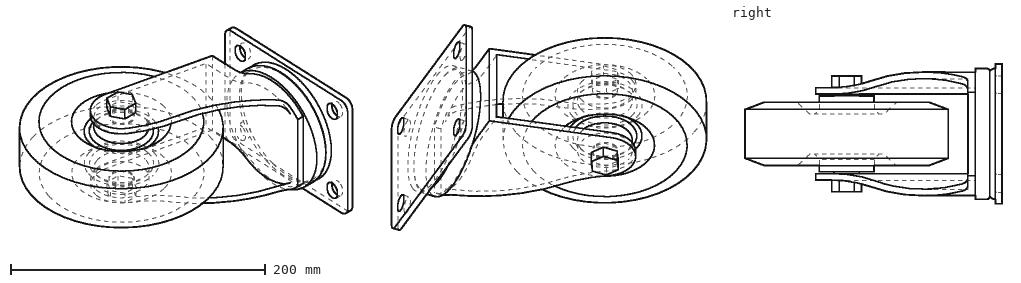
import cadquery as cq
import math


wheel_radius = 80.0
wheel_half_width = 25.0
tread_half_width = 19.1
face_radius = 64.7
recess_radius = 39.1
recess_floor_radius = 29.2
recess_depth = 9.2
collar_base_radius = 25.2
collar_top_depth = 5.2

hub_diameter = 43.2
hub_half_length = 29.9
axle_diameter = 20.0
hex_flats = 20.5
bolt_half_length = 45.5

overall_length = 215
overall_height = 202
plate_length = 140.0
plate_width = 110.0
plate_thickness = 5.4
plate_corner_radius = 7.3
slot_width = 11.5
slot_length = 14.0
slot_offset_x = 52.5
slot_offset_z = 38.7

bearing_diameter = 103.0
bearing_groove_diameter = 98.5
bearing_bottom = 101.0
bearing_shoulder = 109.9
bearing_groove = 112.5

sheet = 5.2
leg_outer_z = 36.3
leg_end_radius = 24.3
leg_bend_x = 21.3
fork_crown_radius = 48.5
fork_corner_x = -2.8
fork_end_x = 100.8
bridge_thickness = 5.8
leg_slope = 58.7
throat_radius = 10.3

plate_top = overall_height - wheel_radius
plate_bottom = plate_top - plate_thickness
swivel_x = overall_length - wheel_radius - plate_length / 2
bridge_bottom = bearing_bottom - bridge_thickness


def make_wheel():
    """Chamfered wheel with a dished recess and a conical collar on each face."""
    recess_floor = wheel_half_width - recess_depth
    collar_top = wheel_half_width - collar_top_depth
    upper_half = [
        (wheel_radius, tread_half_width),
        (face_radius, wheel_half_width),
        (recess_radius, wheel_half_width),
        (recess_floor_radius, recess_floor),
        (collar_base_radius, recess_floor),
        (hub_diameter / 2, collar_top),
        (0, collar_top),
    ]
    lower_half = [(radius, -z) for radius, z in reversed(upper_half)]
    return cq.Workplane("XZ").polyline(upper_half + lower_half).close().revolve(360, (0, 0), (0, 1))


def make_axle():
    """Hub sleeve, axle and hexagonal bolt heads with corners toward +Y and -Y."""
    hub = cq.Workplane("XY").circle(hub_diameter / 2).extrude(hub_half_length, both=True)
    axle = cq.Workplane("XY").circle(axle_diameter / 2).extrude(leg_outer_z, both=True)
    hex_corners = hex_flats / math.cos(math.pi / 6)
    hexagon = cq.Workplane("XY").transformed(rotate=(0, 0, 90)).polygon(6, hex_corners)
    head_height = bolt_half_length - leg_outer_z
    hexagon = hexagon.extrude(head_height).translate((0, 0, leg_outer_z))
    return hub.union(axle).union(hexagon).union(hexagon.mirror("XY"))


def make_plate():
    """Rounded mounting plate with four slots elongated along Z."""
    plate = cq.Workplane("XY").box(plate_length, plate_thickness, plate_width)
    plate = plate.edges("|Y").fillet(plate_corner_radius)
    slot_centers = [(x, z) for x in (-slot_offset_x, slot_offset_x) for z in (-slot_offset_z, slot_offset_z)]
    slots = cq.Workplane("XZ").pushPoints(slot_centers).slot2D(slot_length, slot_width, 90)
    plate = plate.cut(slots.extrude(plate_thickness, both=True))
    return plate.translate((swivel_x, plate_bottom + plate_thickness / 2, 0))


def make_bearing():
    """Swivel bearing turned about the Y axis, with two rounded rims meeting in a groove."""
    outer = bearing_diameter / 2
    groove = bearing_groove_diameter / 2
    lower_ring = (
        cq.Workplane("XY")
        .moveTo(0, bearing_bottom)
        .lineTo(outer, bearing_bottom)
        .lineTo(outer, bearing_shoulder)
        .tangentArcPoint((groove, bearing_groove), relative=False)
        .lineTo(0, bearing_groove)
        .close()
        .revolve(360, (0, 0), (0, 1))
    )
    upper_ring = (
        cq.Workplane("XY")
        .moveTo(0, plate_top)
        .lineTo(outer, plate_top)
        .lineTo(outer, plate_bottom)
        .tangentArcPoint((groove, bearing_groove), relative=False)
        .lineTo(0, bearing_groove)
        .close()
        .revolve(360, (0, 0), (0, 1))
    )
    return lower_ring.union(upper_ring).translate((swivel_x, 0, 0))


def fork_plan(inset):
    """Plan of the fork, offset inward by inset and extruded over the fork's whole Y range.

    Straight legs curve outward through a reverse bend into a crown arc about the swivel axis.
    """
    side_z = leg_outer_z - inset
    crown = fork_crown_radius - inset
    offset_x = swivel_x - leg_bend_x
    outer_bend = (offset_x**2 + leg_outer_z**2 - fork_crown_radius**2) / (2 * (fork_crown_radius - leg_outer_z))
    bend = outer_bend + inset
    bend_center_z = leg_outer_z + outer_bend
    bend_angle = math.atan2(offset_x, bend_center_z)
    tangent_x = leg_bend_x + bend * math.sin(bend_angle)
    tangent_z = bend_center_z - bend * math.cos(bend_angle)
    bend_mid_x = leg_bend_x + bend * math.sin(bend_angle / 2)
    bend_mid_z = bend_center_z - bend * math.cos(bend_angle / 2)
    end_z = math.sqrt(crown**2 - (fork_end_x - swivel_x) ** 2)
    plan = (
        cq.Workplane("XZ")
        .moveTo(-leg_end_radius, -side_z)
        .lineTo(leg_bend_x, -side_z)
        .threePointArc((bend_mid_x, -bend_mid_z), (tangent_x, -tangent_z))
        .threePointArc((swivel_x, -crown), (fork_end_x, -end_z))
        .lineTo(fork_end_x, end_z)
        .threePointArc((swivel_x, crown), (tangent_x, tangent_z))
        .threePointArc((bend_mid_x, bend_mid_z), (leg_bend_x, side_z))
        .lineTo(-leg_end_radius, side_z)
        .close()
    )
    fork_height = bearing_bottom + leg_end_radius
    return plan.extrude(-fork_height).translate((0, -leg_end_radius, 0))


def fork_side_outline():
    """Side outline: rounded leg end, two tangent edges and the bridge tip."""
    corner_distance = math.hypot(fork_corner_x, bearing_bottom)
    corner_angle = math.atan2(bearing_bottom, fork_corner_x)
    front_angle = corner_angle + math.acos(leg_end_radius / corner_distance)
    front_x = leg_end_radius * math.cos(front_angle)
    front_y = leg_end_radius * math.sin(front_angle)
    slope = math.radians(leg_slope)
    rear_x = leg_end_radius * math.sin(slope)
    rear_y = -leg_end_radius * math.cos(slope)
    throat_x = rear_x + (bridge_bottom - rear_y) / math.tan(slope)
    outline = (
        cq.Workplane("XY")
        .moveTo(fork_corner_x, bearing_bottom)
        .lineTo(front_x, front_y)
        .threePointArc((0, -leg_end_radius), (rear_x, rear_y))
        .lineTo(throat_x, bridge_bottom)
        .lineTo(fork_end_x, bridge_bottom)
        .lineTo(fork_end_x, bearing_bottom)
        .close()
    )
    blank = outline.extrude(fork_crown_radius, both=True)
    throat = cq.selectors.NearestToPointSelector((throat_x, bridge_bottom, 0))
    return blank.edges(throat).fillet(throat_radius)


def make_fork():
    """Two curved sheet legs joined by a bridge under the bearing."""
    bridge_level = cq.Workplane("XY").box(2 * overall_length, bridge_thickness, 2 * plate_width)
    bridge_level = bridge_level.translate((0, bearing_bottom - bridge_thickness / 2, 0))
    opening = fork_plan(sheet).cut(bridge_level)
    return fork_plan(0).cut(opening).intersect(fork_side_outline())


result = make_wheel().union(make_axle()).union(make_fork()).union(make_bearing()).union(make_plate())